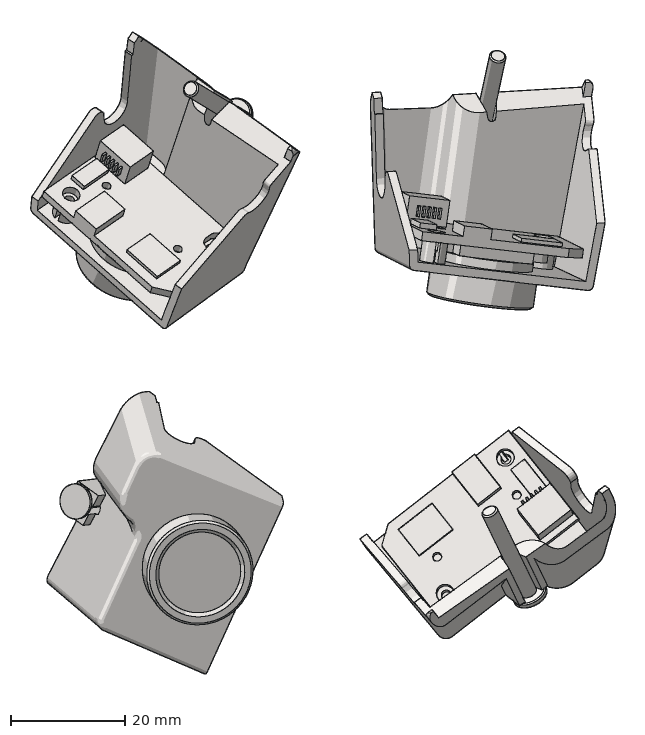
import cadquery as cq
import math

camera = cq.Plane(origin=(0, 0, 0), xDir=(1, -0.0158, -0.1745), normal=(0.1763, 0.1113, 1))
DRAFT = 1.0
shell = camera.rotated((-DRAFT, 0, 0))
PIN_TILT = 35.0
mount = cq.Plane.XY().rotated((PIN_TILT, 0, 0))
RIM_YAW = -0.92
rim = cq.Plane.XY().rotated((0, 0, RIM_YAW)).rotated((PIN_TILT, 0, 0))

BIG = 88.25

WALL = 1.55
FLOOR_BOTTOM = -WALL / 2
FLOOR_TOP = WALL / 2
FRONT_V = -9.93
LEFT_INNER_X = -14.45
RIGHT_INNER_X = 15.93
RIGHT_SLOPE = 0.2235

BACK_LEFT_V = 15.9
JOG_DEPTH = 5.65
JOG_START = -9.1
JOG_SMALL_R = 3.0
JOG_LARGE_R = JOG_SMALL_R + WALL
OUTER_JOG_START = -7.32
THICK_RIM_V = 15.9
THICK_RIM_W = 37.05
CORNER_INNER_R = 2.4
CORNER_OUTER_R = 3.55
RIGHT_CORNER_R = 1.75
LEFT_CORNER_U = -19.85
RIGHT_CORNER_U = 18.1
BOTTOM_R = 0.95

RIDGE_Y = 29.8
RIM_Z = 12.5
EAR_TOP_Z = 14.35
EAR_FRONT_FOOT = (14.9, 25.32)
EAR_FRONT_TOP = (16.2, 35.3)
LEFT_NOTCH_TOP = (14.55, 25.32)
LEFT_NOTCH_BACK = (13.5, 14.35)
LEFT_NOTCH_BOTTOM = (10.6, 11.35)
LEFT_NOTCH_FRONT = (7.55, 14.35)
LEFT_PEAK_BACK = (7.45, 15.95)
LEFT_PEAK_TOP = (6.3, 17.0)
LEFT_PEAK_FRONT = (4.9, 16.55)
LEFT_SLOPE_END = (-17.65, 0.75)
RIGHT_NOTCH = (7.6, 21.25)
NOTCH_R = 3.0
NOTCH_CORNER_R = 0.95
RIGHT_NOTCH_CORNERS = [(10.32, 22.5), (5.5, 19.1)]
EAR_TIP_TOP = (22.3, 28.9)
EAR_TIP_MID = (23.25, 28.55)
EAR_TIP_SIDE = (23.6, 27.55)

PIN_X = 4.8
PIN_Y = 28.0
PIN_R = 1.45
PIN_TIP_Z = 24.2
PIN_CHAMFER = 0.25
HEAD_R = 3.1
HEAD_BOTTOM_Z = 3.57
HEAD_THICK = 0.93
HEAD_CHAMFER = 0.2
LUG_END_Z = HEAD_BOTTOM_Z + HEAD_THICK
LUG_WIDTH = 6.18
SLOT_TOP_HALF = 1.85
SLOT_LOW_HALF = 0.8
SLOT_LOW_Y = 24.9

BOARD_LEFT, BOARD_RIGHT = -14.8, 15.2
BOARD_FRONT, BOARD_BACK = FRONT_V, 10.1
BOARD_BOTTOM = 4.6
BOARD_THICK = 1.6
BOARD_TOP = BOARD_BOTTOM + BOARD_THICK
BOARD_CUT_U, BOARD_CUT_V = 3.2, 2.4
ROUND_POST = (-11.35, -6.45)
SLOT_POST = (11.65, 6.15)
POST_R = 2.25
PILOT_R = 0.9
PILOT_DEPTH = 1.75
POST_SLIT = 0.8
MOUNT_HOLE_R = 1.55
MOUNT_SLOT = (11.7, 6.6)
MOUNT_SLOT_LENGTH = 4.32
SCREW_SPACING = 17.65
SCREW_V = 0.05
SCREW_R = 0.77

SOCKET = (-14.45, -7.1, 2.95, 8.95, 4.75)
BOARD_PARTS = [
    SOCKET,
    (-13.75, -10.7, -3.95, 2.43, 0.93),
    (-7.4, -2.35, FRONT_V, -2.5, 1.85),
    (3.7, 11.2, -7.95, -2.0, 0.65),
]
LEG_COUNT = 5
LEG_PITCH = 0.95
FIRST_LEG_U = -12.8
LEG_WIDTH = 0.35
LEG_LENGTH = 0.9
LEG_LOW, LEG_HIGH = 7.55, 9.45

LENS_R = 9.45
LENS_BOTTOM = -5.8
LENS_CHAMFER = 0.4
GLASS_RIM_R = 7.9
GLASS_R = 7.3
GLASS_DEPTH = 0.55
BARREL_R = 8.4
BLOCK_BOTTOM = 2.4
BLOCK_SIZE = 13.4
EAR_WIDTH = 4.4


def camera_box(u0, u1, v0, v1, w0, w1):
    """Box given by its limits in the camera frame."""
    return (
        cq.Workplane(camera).workplane(offset=w0)
        .center((u0 + u1) / 2, (v0 + v1) / 2)
        .rect(u1 - u0, v1 - v0)
        .extrude(w1 - w0)
    )


def camera_cylinder(u, v, radius, w0, w1):
    return cq.Workplane(camera).workplane(offset=w0).center(u, v).circle(radius).extrude(w1 - w0)


def rim_box(y0, y1, z0, z1):
    """Box across the whole part, given by its limits in the rim frame."""
    return (
        cq.Workplane(rim).workplane(offset=z0)
        .center(0, (y0 + y1) / 2)
        .rect(BIG, y1 - y0)
        .extrude(z1 - z0)
    )


def between_sides(left, right):
    """Everything between the upright left side and the sloping right side."""
    return (
        cq.Workplane("XZ")
        .polyline([
            (left, -BIG / 2),
            (right - RIGHT_SLOPE * BIG / 2, -BIG / 2),
            (right + RIGHT_SLOPE * BIG / 2, BIG / 2),
            (left, BIG / 2),
        ])
        .close()
        .extrude(BIG / 2, both=True)
    )


def back_prism(back_v, start, convex_r, concave_r, bottom):
    """Prism whose back steps forward to the right of an S-shaped jog."""
    angle = math.acos(1 - JOG_DEPTH / (convex_r + concave_r))
    half = angle / 2
    mid_u = start + convex_r * math.sin(angle)
    mid_v = back_v - convex_r * (1 - math.cos(angle))
    end_u = mid_u + concave_r * math.sin(angle)
    end_v = back_v - JOG_DEPTH
    convex_point = (start + convex_r * math.sin(half), back_v - convex_r * (1 - math.cos(half)))
    concave_point = (end_u - concave_r * math.sin(half), end_v + concave_r * (1 - math.cos(half)))
    prism = (
        cq.Workplane(shell).workplane(offset=-BIG / 4)
        .moveTo(-BIG / 2, 2 * FRONT_V)
        .lineTo(-BIG / 2, back_v)
        .lineTo(start, back_v)
        .threePointArc(convex_point, (mid_u, mid_v))
        .threePointArc(concave_point, (end_u, end_v))
        .lineTo(BIG / 2, end_v)
        .lineTo(BIG / 2, 2 * FRONT_V)
        .close()
        .extrude(BIG)
    )
    return prism.intersect(camera_box(-BIG, BIG, -BIG, BIG, bottom, BIG / 2))


def corner_edge(u, v):
    """Selector of the upright edge that passes near (u, v) halfway up the shell."""
    return cq.selectors.NearestToPointSelector(camera.toWorldCoords((u, v, BIG / 4)).toTuple())


def outer_shape():
    left = LEFT_INNER_X - WALL
    right = RIGHT_INNER_X + WALL
    back = BACK_LEFT_V + WALL
    sides = between_sides(left, right)
    shape = back_prism(back, OUTER_JOG_START, JOG_LARGE_R, JOG_SMALL_R, FLOOR_BOTTOM).intersect(sides)
    shape = shape.edges(corner_edge(LEFT_CORNER_U, back)).fillet(CORNER_OUTER_R)
    shape = shape.edges(corner_edge(RIGHT_CORNER_U, back - JOG_DEPTH)).fillet(RIGHT_CORNER_R)
    down = camera.zDir * -1
    shape = shape.faces(cq.selectors.DirectionMinMaxSelector(down)).edges().fillet(BOTTOM_R)
    thickening = (
        cq.Workplane(camera.rotated((90, 90, 0)))
        .polyline([
            (back - JOG_DEPTH, 2 * BOTTOM_R),
            (THICK_RIM_V, THICK_RIM_W),
            (0, THICK_RIM_W),
            (0, 2 * BOTTOM_R),
        ])
        .close()
        .extrude(BIG / 2)
        .translate(camera.xDir * (OUTER_JOG_START + JOG_SMALL_R))
        .intersect(sides)
    )
    thickening = thickening.edges(corner_edge(RIGHT_CORNER_U, THICK_RIM_V)).fillet(RIGHT_CORNER_R)
    return shape.union(thickening)


def lug():
    """Block behind the back wall that carries the pin."""
    bottom = PIN_Y - HEAD_R
    return (
        cq.Workplane(mount).workplane(offset=LUG_END_Z)
        .center(PIN_X, (bottom + RIDGE_Y) / 2)
        .rect(LUG_WIDTH, RIDGE_Y - bottom)
        .extrude(RIM_Z - LUG_END_Z)
    )


def pin_slot():
    """Tapered slot with a round bottom, open along the top of the lug."""
    low_arc = (PIN_X, SLOT_LOW_Y - SLOT_LOW_HALF)
    return (
        cq.Workplane(mount).workplane(offset=-WALL)
        .moveTo(PIN_X - SLOT_TOP_HALF, RIDGE_Y + WALL)
        .lineTo(PIN_X - SLOT_TOP_HALF, RIDGE_Y)
        .lineTo(PIN_X - SLOT_LOW_HALF, SLOT_LOW_Y)
        .threePointArc(low_arc, (PIN_X + SLOT_LOW_HALF, SLOT_LOW_Y))
        .lineTo(PIN_X + SLOT_TOP_HALF, RIDGE_Y)
        .lineTo(PIN_X + SLOT_TOP_HALF, RIDGE_Y + WALL)
        .close()
        .extrude(BIG / 2)
    )


def left_wall_cut():
    """Open region in front of the left ear: deep notch, rounded peak and sloping edge."""
    return (
        cq.Workplane("YZ", origin=(LEFT_INNER_X + CORNER_INNER_R, 0, 0))
        .moveTo(*EAR_FRONT_TOP)
        .lineTo(*EAR_FRONT_FOOT)
        .lineTo(*LEFT_NOTCH_TOP)
        .lineTo(*LEFT_NOTCH_BACK)
        .threePointArc(LEFT_NOTCH_BOTTOM, LEFT_NOTCH_FRONT)
        .lineTo(*LEFT_PEAK_BACK)
        .threePointArc(LEFT_PEAK_TOP, LEFT_PEAK_FRONT)
        .lineTo(*LEFT_SLOPE_END)
        .lineTo(LEFT_SLOPE_END[0], EAR_FRONT_TOP[1])
        .close()
        .extrude(-BIG / 2)
    )


def right_wall_cut():
    """Open region in front of the right ear: sloping edge with a round notch."""
    before_ear = (
        cq.Workplane("YZ")
        .polyline([
            EAR_FRONT_TOP,
            EAR_FRONT_FOOT,
            (EAR_FRONT_FOOT[0], -BIG),
            (-BIG, -BIG),
            (-BIG, EAR_FRONT_TOP[1]),
        ])
        .close()
        .extrude(BIG / 2)
    )
    above = rim_box(-BIG, BIG, RIM_Z, BIG).intersect(before_ear)
    notch = cq.Workplane("YZ").center(*RIGHT_NOTCH).circle(NOTCH_R).extrude(BIG / 2)
    cut = above.union(notch)
    for y, z in RIGHT_NOTCH_CORNERS:
        cut = cut.edges(cq.NearestToPointSelector((BIG / 4, y, z))).fillet(NOTCH_CORNER_R)
    return cut


def ear_tip_cut():
    """Corner removed to round the outer tip of the right ear."""
    return (
        cq.Workplane("XZ")
        .moveTo(*EAR_TIP_TOP)
        .threePointArc(EAR_TIP_MID, EAR_TIP_SIDE)
        .lineTo(BIG, EAR_TIP_SIDE[1])
        .lineTo(BIG, BIG)
        .lineTo(EAR_TIP_TOP[0], BIG)
        .close()
        .extrude(BIG / 2, both=True)
    )


def post(centre):
    """Screw post with a blind pilot hole."""
    u, v = centre
    body = camera_cylinder(u, v, POST_R, 0, BOARD_BOTTOM)
    return body.cut(camera_cylinder(u, v, PILOT_R, BOARD_BOTTOM - PILOT_DEPTH, BOARD_BOTTOM))


def make_housing():
    body = outer_shape().union(lug())
    inner_sides = between_sides(LEFT_INNER_X, RIGHT_INNER_X)
    cavity = back_prism(BACK_LEFT_V, JOG_START, JOG_SMALL_R, JOG_LARGE_R, FLOOR_TOP).intersect(inner_sides)
    cavity = cavity.edges(corner_edge(LEFT_CORNER_U, BACK_LEFT_V)).fillet(CORNER_INNER_R)
    body = body.cut(cavity)
    body = body.cut(rim_box(RIDGE_Y, BIG, -BIG, BIG))
    body = body.cut(rim_box(-BIG, BIG, RIM_Z, BIG).intersect(inner_sides))
    body = body.cut(rim_box(-BIG, BIG, EAR_TOP_Z, BIG))
    body = body.cut(left_wall_cut()).cut(right_wall_cut()).cut(ear_tip_cut())
    body = body.cut(camera_box(-BIG, BIG, -BIG, FRONT_V, -BIG, BIG))
    body = body.cut(pin_slot())
    round_post = post(ROUND_POST)
    u, v = ROUND_POST
    slit = camera_box(u - POST_SLIT / 2, u + POST_SLIT / 2, v - 2 * POST_R, v, FLOOR_TOP, BOARD_BOTTOM)
    body = body.union(round_post.cut(slit)).union(post(SLOT_POST))
    return body.cut(camera_cylinder(0, 0, BARREL_R, -BIG / 4, BLOCK_BOTTOM))


def make_pin():
    """Pin with a round head at its lower end."""
    head = (
        cq.Workplane(mount).workplane(offset=HEAD_BOTTOM_Z)
        .center(PIN_X, PIN_Y)
        .circle(HEAD_R)
        .extrude(HEAD_THICK)
        .faces(cq.selectors.DirectionMinMaxSelector(mount.zDir))
        .chamfer(HEAD_CHAMFER)
    )
    shank = (
        cq.Workplane(mount).workplane(offset=HEAD_BOTTOM_Z)
        .center(PIN_X, PIN_Y)
        .circle(PIN_R)
        .extrude(PIN_TIP_Z - HEAD_BOTTOM_Z)
        .faces(cq.selectors.DirectionMinMaxSelector(mount.zDir))
        .chamfer(PIN_CHAMFER)
    )
    return head.union(shank)


def make_board():
    """Circuit board with its parts."""
    board = (
        cq.Workplane(camera).workplane(offset=BOARD_BOTTOM)
        .polyline([
            (BOARD_LEFT, BOARD_FRONT),
            (BOARD_RIGHT - BOARD_CUT_U, BOARD_FRONT),
            (BOARD_RIGHT, BOARD_FRONT + BOARD_CUT_V),
            (BOARD_RIGHT, BOARD_BACK),
            (BOARD_LEFT, BOARD_BACK),
        ])
        .close()
        .extrude(BOARD_THICK)
    )
    board = board.cut(camera_cylinder(*ROUND_POST, MOUNT_HOLE_R, BOARD_BOTTOM, BOARD_TOP))
    slot = (
        cq.Workplane(camera).workplane(offset=BOARD_BOTTOM)
        .center(*MOUNT_SLOT)
        .slot2D(MOUNT_SLOT_LENGTH, 2 * MOUNT_HOLE_R, 90)
        .extrude(BOARD_THICK)
    )
    board = board.cut(slot)
    for side in (-1, 1):
        u = side * SCREW_SPACING / 2
        board = board.cut(camera_cylinder(u, SCREW_V, SCREW_R, BOARD_BOTTOM, BOARD_TOP))
    for left, right, front, back, height in BOARD_PARTS:
        board = board.union(camera_box(left, right, front, back, BOARD_TOP, BOARD_TOP + height))
    socket_front = SOCKET[2]
    for i in range(LEG_COUNT):
        u = FIRST_LEG_U + i * LEG_PITCH
        leg = camera_box(u, u + LEG_WIDTH, socket_front - LEG_LENGTH, socket_front, LEG_LOW, LEG_HIGH)
        board = board.union(leg)
    return board


def make_lens():
    """Lens housing below the floor, barrel through it and mounting block under the board."""
    flange = camera_cylinder(0, 0, LENS_R, LENS_BOTTOM, FLOOR_BOTTOM)
    down = camera.zDir * -1
    flange = flange.faces(cq.selectors.DirectionMinMaxSelector(down)).chamfer(LENS_CHAMFER)
    recess = (
        cq.Workplane(camera).workplane(offset=LENS_BOTTOM)
        .circle(GLASS_RIM_R)
        .workplane(offset=GLASS_DEPTH)
        .circle(GLASS_R)
        .loft()
    )
    half = BLOCK_SIZE / 2
    lens = flange.cut(recess).union(camera_cylinder(0, 0, BARREL_R, FLOOR_BOTTOM, BLOCK_BOTTOM))
    lens = lens.union(camera_box(-half, half, -half, half, BLOCK_BOTTOM, BOARD_BOTTOM))
    ears = (
        cq.Workplane(camera).workplane(offset=BLOCK_BOTTOM)
        .slot2D(SCREW_SPACING + EAR_WIDTH, EAR_WIDTH)
        .extrude(BOARD_BOTTOM - BLOCK_BOTTOM)
    )
    return lens.union(ears)


pin = make_pin()
housing = make_housing().cut(pin)
board = make_board()
lens = make_lens()

result = cq.Compound.makeCompound([housing.val(), pin.val(), board.val(), lens.val()])